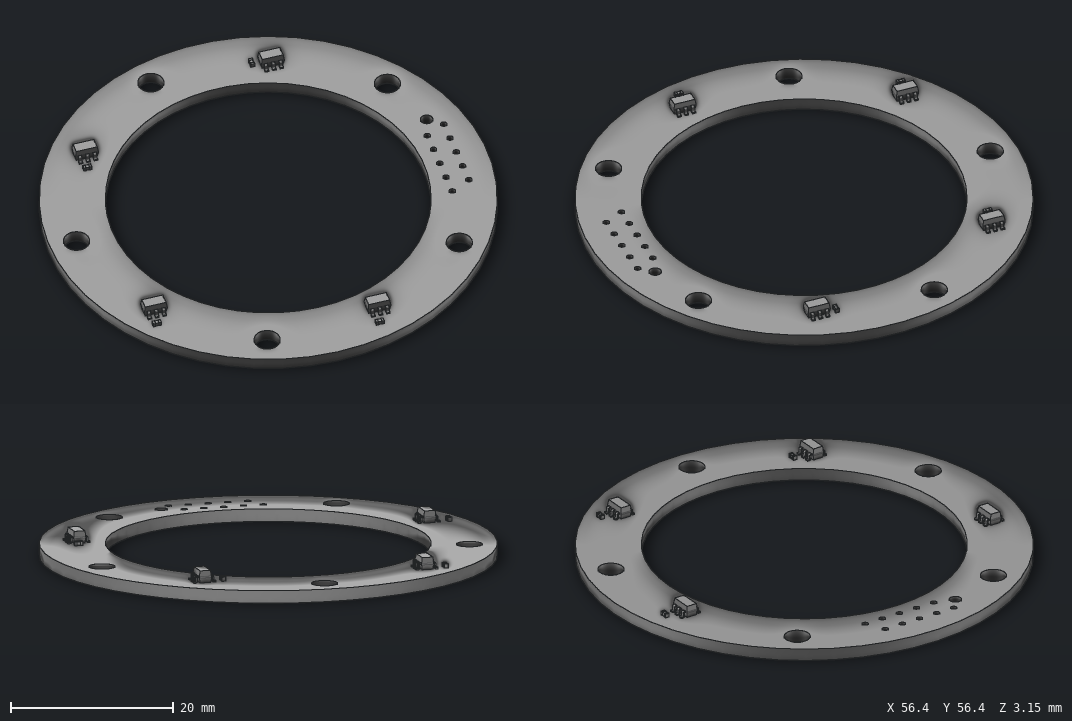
import cadquery as cq

OVERALL_HEIGHT = 3.15

PACKAGE_LENGTH = 2.95
PACKAGE_WIDTH = 1.6
PACKAGE_HEIGHT = 1.5
PACKAGE_TAPER = 0.1
STANDOFF = 0.035
CHIP_HEIGHT = STANDOFF + PACKAGE_HEIGHT
WAIST_BOTTOM = 0.7
WAIST_HEIGHT = 0.15
WAIST_TOP = WAIST_BOTTOM + WAIST_HEIGHT
CHIP_CENTRES = [(-22.4, 7.5), (22.35, 7.0), (-14.05, -19.2), (14.4, -19.35)]

LEAD_SPAN = 2.8
LEAD_WIDTH = 0.45
LEAD_PITCH = 0.95
LEADS_PER_SIDE = 3
LEAD_THICKNESS = 0.15
FOOT_LENGTH = 0.45
BEND_INNER_RADIUS = 0.05

BOARD_DIAMETER = 56.4
BOARD_BORE = 40.1
BOARD_THICKNESS = OVERALL_HEIGHT - CHIP_HEIGHT

MOUNT_HOLE_DIAMETER = 3.2
MOUNT_HOLE_COUNT = 5
MOUNT_CIRCLE_RADIUS = 24.75
FIRST_MOUNT_ANGLE = -90.0

PIN_HOLE_DIAMETER = 0.8
PIN_PITCH = 2.55
PINS_PER_ROW = 5
CONNECTOR_CENTRE_X = 0.04
OUTER_ROW_Y = 24.5
LOCATING_HOLE_DIAMETER = 1.5
LOCATING_HOLE_CENTRE = (-7.1, 22.75)

CAPACITOR_LENGTH = 1.0
CAPACITOR_WIDTH = 0.5
CAPACITOR_HEIGHT = 0.5
END_CAP_LENGTH = 0.3
END_CAP_STEP = 0.03
CAPACITOR_PLACES = [(-22.85, 5.15, 0), (25.0, 6.45, 90), (-11.55, -19.7, 90), (16.9, -19.8, 90)]


def through_holes(points, diameter):
    return cq.Workplane("XY").pushPoints(points).circle(diameter / 2).extrude(BOARD_THICKNESS)


def make_board():
    ring = (
        cq.Workplane("XY")
        .circle(BOARD_DIAMETER / 2)
        .circle(BOARD_BORE / 2)
        .extrude(BOARD_THICKNESS)
    )
    mount_holes = (
        cq.Workplane("XY")
        .polarArray(MOUNT_CIRCLE_RADIUS, FIRST_MOUNT_ANGLE, 360, MOUNT_HOLE_COUNT)
        .circle(MOUNT_HOLE_DIAMETER / 2)
        .extrude(BOARD_THICKNESS)
    )
    first_pin_x = CONNECTOR_CENTRE_X - (PINS_PER_ROW - 0.5) * PIN_PITCH / 2
    outer_row = [(first_pin_x + i * PIN_PITCH, OUTER_ROW_Y) for i in range(PINS_PER_ROW)]
    inner_row = [(x + PIN_PITCH / 2, y - PIN_PITCH) for x, y in outer_row]
    pin_holes = through_holes(outer_row + inner_row, PIN_HOLE_DIAMETER)
    locating_hole = through_holes([LOCATING_HOLE_CENTRE], LOCATING_HOLE_DIAMETER)
    return ring.cut(mount_holes).cut(pin_holes).cut(locating_hole)


def make_package():
    end_length = PACKAGE_LENGTH - 2 * PACKAGE_TAPER
    end_width = PACKAGE_WIDTH - 2 * PACKAGE_TAPER
    lower = (
        cq.Workplane("XY", origin=(0, 0, STANDOFF))
        .rect(end_width, end_length)
        .workplane(offset=WAIST_BOTTOM - STANDOFF)
        .rect(PACKAGE_WIDTH, PACKAGE_LENGTH)
        .loft()
    )
    waist = (
        cq.Workplane("XY", origin=(0, 0, WAIST_BOTTOM))
        .rect(PACKAGE_WIDTH, PACKAGE_LENGTH)
        .extrude(WAIST_HEIGHT)
    )
    upper = (
        cq.Workplane("XY", origin=(0, 0, WAIST_TOP))
        .rect(PACKAGE_WIDTH, PACKAGE_LENGTH)
        .workplane(offset=CHIP_HEIGHT - WAIST_TOP)
        .rect(end_width, end_length)
        .loft()
    )
    return lower.union(waist).union(upper)


def make_lead():
    """One lead on the +X side, centred on Y = 0, from inside the waist down to its foot."""
    root = PACKAGE_WIDTH / 2 - PACKAGE_TAPER
    tip = LEAD_SPAN / 2
    shank_outer = tip - FOOT_LENGTH + LEAD_THICKNESS
    shank_inner = shank_outer - LEAD_THICKNESS
    profile = [
        (root, WAIST_TOP),
        (shank_outer, WAIST_TOP),
        (shank_outer, LEAD_THICKNESS),
        (tip, LEAD_THICKNESS),
        (tip, 0),
        (shank_inner, 0),
        (shank_inner, WAIST_TOP - LEAD_THICKNESS),
        (root, WAIST_TOP - LEAD_THICKNESS),
    ]
    lead = cq.Workplane("XZ").polyline(profile).close().extrude(LEAD_WIDTH / 2, both=True)

    inner_bends = [
        (shank_outer, LEAD_THICKNESS),
        (shank_inner, WAIST_TOP - LEAD_THICKNESS),
    ]
    outer_bends = [(shank_outer, WAIST_TOP), (shank_inner, 0)]
    outer_radius = BEND_INNER_RADIUS + LEAD_THICKNESS
    for corners, radius in ((inner_bends, BEND_INNER_RADIUS), (outer_bends, outer_radius)):
        for x, z in corners:
            lead = lead.edges(cq.NearestToPointSelector((x, 0, z))).fillet(radius)
    return lead


def make_chip(x, y):
    chip = make_package()
    lead = make_lead()
    for i in range(LEADS_PER_SIDE):
        lead_y = (i - (LEADS_PER_SIDE - 1) / 2) * LEAD_PITCH
        right_lead = lead.translate((0, lead_y, 0))
        chip = chip.union(right_lead).union(right_lead.mirror("YZ"))
    return chip.translate((x, y, BOARD_THICKNESS))


def make_capacitor(x, y, angle):
    middle_width = CAPACITOR_WIDTH - 2 * END_CAP_STEP
    middle_height = CAPACITOR_HEIGHT - 2 * END_CAP_STEP
    on_board = (True, True, False)
    capacitor = (
        cq.Workplane("XY", origin=(0, 0, END_CAP_STEP))
        .box(CAPACITOR_LENGTH - END_CAP_LENGTH, middle_width, middle_height, centered=on_board)
    )
    for side in (-1, 1):
        cap_x = side * (CAPACITOR_LENGTH - END_CAP_LENGTH) / 2
        end_cap = (
            cq.Workplane("XY", origin=(cap_x, 0, 0))
            .box(END_CAP_LENGTH, CAPACITOR_WIDTH, CAPACITOR_HEIGHT, centered=on_board)
        )
        capacitor = capacitor.union(end_cap)
    return capacitor.rotate((0, 0, 0), (0, 0, 1), angle).translate((x, y, BOARD_THICKNESS))


board = make_board()
chips = [make_chip(x, y) for x, y in CHIP_CENTRES]
capacitors = [make_capacitor(x, y, angle) for x, y, angle in CAPACITOR_PLACES]

result = cq.Compound.makeCompound(
    [board.val()] + [chip.val() for chip in chips] + [capacitor.val() for capacitor in capacitors]
)